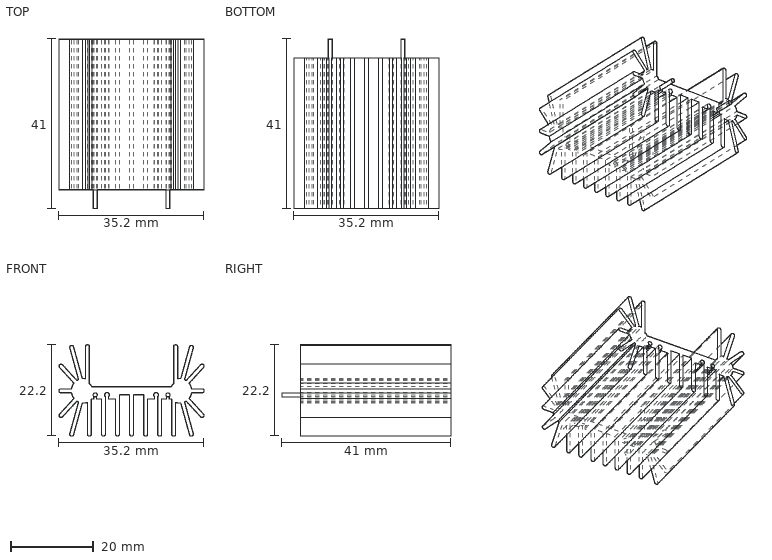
import cadquery as cq
import math

length = 36.5
fin_thickness = 1.0
tip_radius = fin_thickness / 2

hub_x = 11.6
hub_radius = 3.0
shoulder_radius = 2.25

web_top = 1.0
web_bottom = -1.0
pad_bottom = -2.0
fin_reach = 11.0

lower_fin_pitch = 3.4
lower_fin_steps = 3
wall_reach = 11.2
channel_half_width = 10.2
wall_outer_x = channel_half_width + fin_thickness
wall_tip_radius = 0.6
wall_tip_drop = 0.2

side_fin_reach = 6.0
diagonal_fin_angle = 47.5
diagonal_fin_reach = 8.6
steep_fin_angle = 74.6
steep_fin_reach = (fin_reach - tip_radius) / math.sin(math.radians(steep_fin_angle)) + tip_radius

pin_radius = 0.5
pin_x = 8.8
pin_stickout = 4.5
groove_z = web_bottom
pin_groove_mouth = 0.6
spare_groove_x = 5.95
spare_groove_radius = 0.55
spare_groove_mouth = 0.7


def block(x_min, x_max, z_min, z_max):
    """Full-length bar with a rectangular section."""
    return cq.Workplane("XY").box(
        x_max - x_min, length, z_max - z_min, centered=False
    ).translate((x_min, 0, z_min))


def rod(x, z, radius, y_start=0.0):
    """Round bar along Y that ends at the back face."""
    circle = cq.Workplane("XZ", origin=(x, y_start, z)).circle(radius)
    return circle.extrude(y_start - length)


def fin(x, angle, reach):
    """Round-tipped fin that starts at (x, 0) and points at an angle from +X."""
    straight = reach - tip_radius
    half = fin_thickness / 2
    bar = (
        cq.Workplane("XZ")
        .moveTo(0, -half)
        .lineTo(straight, -half)
        .threePointArc((reach, 0), (straight, half))
        .lineTo(0, half)
        .close()
        .extrude(-length)
    )
    return bar.rotate((0, 0, 0), (0, 1, 0), -angle).translate((x, 0, 0))


def channel_wall():
    """Upright wall, rounded on its outer top edge and sloped towards the channel."""
    crest_x = wall_outer_x - wall_tip_radius
    round_start = wall_reach - wall_tip_radius
    diagonal = wall_tip_radius * math.sqrt(0.5)
    return (
        cq.Workplane("XZ")
        .moveTo(channel_half_width, 0)
        .lineTo(wall_outer_x, 0)
        .lineTo(wall_outer_x, round_start)
        .threePointArc((crest_x + diagonal, round_start + diagonal), (crest_x, wall_reach))
        .lineTo(channel_half_width, wall_reach - wall_tip_drop)
        .close()
        .extrude(-length)
    )


def keyhole(x, radius, mouth):
    """Round groove with a narrower mouth that opens downward through the pad."""
    slot = block(x - mouth / 2, x + mouth / 2, pad_bottom, groove_z)
    return rod(x, groove_z, radius).union(slot)


def make_right_half():
    """Right half of the extrusion, without the middle fin."""
    channel = block(0, channel_half_width, web_top, wall_reach)
    fin_gap = block(0, lower_fin_steps * lower_fin_pitch, -fin_reach, pad_bottom)
    half = rod(hub_x, 0, hub_radius).cut(channel).cut(fin_gap)
    half = half.union(rod(hub_x, 0, shoulder_radius))

    half = half.union(block(0, hub_x, web_bottom, web_top))
    half = half.union(block(lower_fin_pitch, hub_x, pad_bottom, web_bottom))

    half = half.union(channel_wall())
    for step in range(1, lower_fin_steps + 1):
        half = half.union(fin(step * lower_fin_pitch, -90, fin_reach))

    half = half.union(fin(hub_x, 0, side_fin_reach))
    for side in (1, -1):
        half = half.union(fin(hub_x, side * diagonal_fin_angle, diagonal_fin_reach))
        half = half.union(fin(hub_x, side * steep_fin_angle, steep_fin_reach))

    half = half.cut(keyhole(pin_x, pin_radius, pin_groove_mouth))
    return half.cut(keyhole(spare_groove_x, spare_groove_radius, spare_groove_mouth))


def make_heat_sink():
    right = make_right_half()
    left = right.mirror("YZ")
    return right.union(left).union(fin(0, -90, fin_reach)).solids()


def make_pin(x):
    """Solder pin that fills its groove and stands out of the front face."""
    return rod(x, groove_z, pin_radius, y_start=-pin_stickout)


heat_sink = make_heat_sink()
pins = [make_pin(side * pin_x) for side in (-1, 1)]

result = cq.Compound.makeCompound([heat_sink.val(), *[pin.val() for pin in pins]])